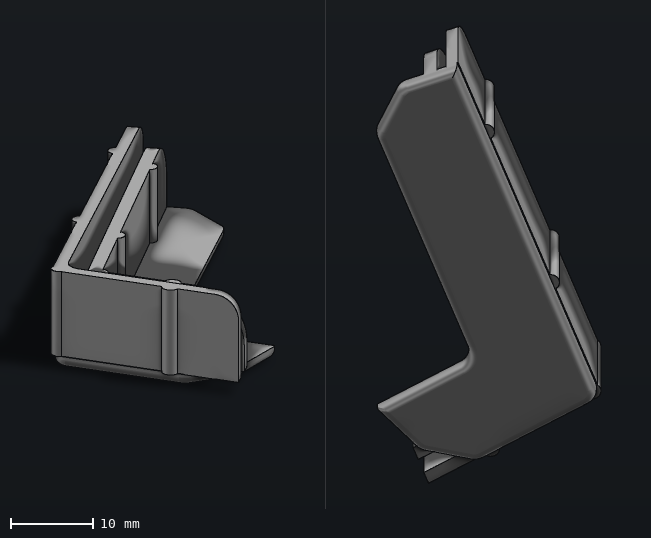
import cadquery as cq
import math


TOTAL_HEIGHT = 12.76
BASE_THICKNESS = 1.6
SHORT_LEG_LENGTH = 24.49
LONG_LEG_LENGTH = 49.55
LEG_LEAN = 10.0
INNER_WALL_LEAN = 11.2

OUTER_WALL_THICKNESS = 1.6
INNER_WALL_START = 3.5
INNER_WALL_THICKNESS = 1.75
INNER_WALL_FOOT_X = 3.87
GROOVE_CORNER_RADIUS = 2.0
OUTER_WALL_CORNER_RADIUS = 1.2
OUTER_WALL_END_RADIUS = 3.0
INNER_WALL_END_RADIUS = 6.2
INNER_WALL_DROP = 1.5

BASE_INSET = 0.13
BASE_WIDTH = 12.75
BASE_OUTER_RADIUS = 2.0
BASE_INNER_RADIUS = 2.0
BASE_EDGE_RADIUS = 1.1
LONG_END_CHAMFER = 5.2
LONG_END_RADIUS = 2.0
TIP_X = 24.4
TIP_RADIUS = 0.3
SHORT_CHAMFER_RADIUS = 2.0
SHORT_END_LEAN = 12.2
SHORT_CHAMFER_START_X = 17.45
SHORT_CHAMFER_ANGLE = 43.0

BEAD_RADIUS = 1.1
BEAD_PROTRUSION = 0.77
BEAD_DEPTH = BEAD_RADIUS - BEAD_PROTRUSION
OUTER_CORNER_BEAD_DEPTH = 0.95
LONG_OUTER_BEADS = (16.8, 39.25)
LONG_INNER_BEADS = (17.25, 39.6)
SHORT_OUTER_BEAD_X = 15.5
SHORT_INNER_BEAD_X = 13.9

INNER_WALL_TOP = TOTAL_HEIGHT - INNER_WALL_DROP


class LeaningLine:
    """A plan line that crosses Y = 0 at foot_x and leans towards -X by lean degrees."""

    def __init__(self, foot_x, lean):
        self.foot_x = foot_x
        self.lean = lean
        self.sin = math.sin(math.radians(lean))
        self.cos = math.cos(math.radians(lean))

    def at_y(self, y):
        return (self.foot_x - y * self.sin / self.cos, y)

    def point(self, along, inward=0.0):
        """Point at a distance along the line from its foot, then square to it towards +X."""
        x = self.foot_x - along * self.sin + inward * self.cos
        y = along * self.cos + inward * self.sin
        return (x, y)

    def shifted(self, inward):
        """Parallel line at a square distance towards +X."""
        return LeaningLine(self.foot_x + inward / self.cos, self.lean)


LEG_FACE = LeaningLine(0.0, LEG_LEAN)
SHORT_END = LeaningLine(SHORT_LEG_LENGTH, LEG_LEAN)
GROOVE_OUTER_FACE = LEG_FACE.shifted(OUTER_WALL_THICKNESS)
GROOVE_INNER_FACE = LeaningLine(INNER_WALL_FOOT_X, INNER_WALL_LEAN)
INNER_FACE = GROOVE_INNER_FACE.shifted(INNER_WALL_THICKNESS)
INNER_FACE_Y = INNER_WALL_START + INNER_WALL_THICKNESS


def near(x, y, z):
    return cq.selectors.NearestToPointSelector((x, y, z))


def middle(a, b):
    return ((a[0] + b[0]) / 2, (a[1] + b[1]) / 2)


def long_leg_end(line):
    """Point where a leaning line meets the square-cut end of the long leg."""
    x, y = LEG_FACE.point(LONG_LEG_LENGTH)
    gap = line.at_y(y)[0] - x
    inward = gap / (LEG_FACE.cos + LEG_FACE.sin * line.sin / line.cos)
    return LEG_FACE.point(LONG_LEG_LENGTH, inward)


def wall(near_line, far_line, near_y, far_y, rounded_corner, top, end_radius):
    """L-shaped wall between two faces, with the top of both free ends rounded."""
    long_near = long_leg_end(near_line)
    long_far = long_leg_end(far_line)
    short_near = SHORT_END.at_y(near_y)
    short_far = SHORT_END.at_y(far_y)
    outline = [
        near_line.at_y(near_y),
        short_near,
        short_far,
        far_line.at_y(far_y),
        long_far,
        long_near,
    ]
    height = top - BASE_THICKNESS
    body = cq.Workplane("XY").workplane(offset=BASE_THICKNESS).polyline(outline).close().extrude(height)
    body = body.edges(near(*rounded_corner, BASE_THICKNESS + height / 2)).fillet(GROOVE_CORNER_RADIUS)
    for end in (middle(long_near, long_far), middle(short_near, short_far)):
        body = body.edges(near(*end, top)).fillet(end_radius)
    return body


def outer_wall():
    corner = GROOVE_OUTER_FACE.at_y(OUTER_WALL_THICKNESS)
    body = wall(
        LEG_FACE, GROOVE_OUTER_FACE, 0.0, OUTER_WALL_THICKNESS,
        corner, TOTAL_HEIGHT, OUTER_WALL_END_RADIUS,
    )
    corner_edge = near(*LEG_FACE.at_y(0.0), TOTAL_HEIGHT / 2)
    return body.edges(corner_edge).fillet(OUTER_WALL_CORNER_RADIUS)


def inner_wall():
    corner = GROOVE_INNER_FACE.at_y(INNER_WALL_START)
    return wall(
        GROOVE_INNER_FACE, INNER_FACE, INNER_WALL_START, INNER_FACE_Y,
        corner, INNER_WALL_TOP, INNER_WALL_END_RADIUS,
    )


def base_plate():
    outer_line = LEG_FACE.shifted(BASE_INSET)
    inner_line = LEG_FACE.shifted(BASE_WIDTH)
    outer_corner = outer_line.at_y(BASE_INSET)
    inner_corner = inner_line.at_y(BASE_WIDTH)
    tip = (TIP_X, BASE_WIDTH)

    chamfer_start = (SHORT_CHAMFER_START_X, BASE_INSET)
    chamfer_run = 1 / math.tan(math.radians(SHORT_CHAMFER_ANGLE))
    end_run = math.tan(math.radians(SHORT_END_LEAN))
    end_x_at_start = TIP_X - (BASE_WIDTH - BASE_INSET) * end_run
    chamfer_rise = (end_x_at_start - SHORT_CHAMFER_START_X) / (chamfer_run - end_run)
    chamfer_end = (SHORT_CHAMFER_START_X + chamfer_rise * chamfer_run, BASE_INSET + chamfer_rise)

    chamfer_side = LEG_FACE.point(LONG_LEG_LENGTH - LONG_END_CHAMFER, BASE_WIDTH)
    chamfer_top = LEG_FACE.point(LONG_LEG_LENGTH, BASE_WIDTH - LONG_END_CHAMFER)
    long_end = LEG_FACE.point(LONG_LEG_LENGTH, BASE_INSET)

    outline = [
        outer_corner,
        chamfer_start,
        chamfer_end,
        tip,
        inner_corner,
        chamfer_side,
        chamfer_top,
        long_end,
    ]
    plate = cq.Workplane("XY").polyline(outline).close().extrude(BASE_THICKNESS)
    rounded_corners = (
        (outer_corner, BASE_OUTER_RADIUS),
        (chamfer_start, SHORT_CHAMFER_RADIUS),
        (chamfer_end, SHORT_CHAMFER_RADIUS),
        (tip, TIP_RADIUS),
        (inner_corner, BASE_INNER_RADIUS),
        (chamfer_side, LONG_END_RADIUS),
        (chamfer_top, LONG_END_RADIUS),
    )
    for corner, radius in rounded_corners:
        plate = plate.edges(near(*corner, BASE_THICKNESS / 2)).fillet(radius)
    return plate.faces("<Z").edges().fillet(BASE_EDGE_RADIUS)


def bead_columns(centres, top):
    plane = cq.Workplane("XY").workplane(offset=BASE_THICKNESS)
    return plane.pushPoints(centres).circle(BEAD_RADIUS).extrude(top - BASE_THICKNESS)


def outer_beads():
    x, y = LEG_FACE.at_y(OUTER_CORNER_BEAD_DEPTH)
    centres = [
        (x + OUTER_CORNER_BEAD_DEPTH / LEG_FACE.cos, y),
        (SHORT_OUTER_BEAD_X, BEAD_DEPTH),
    ]
    centres += [LEG_FACE.point(along, BEAD_DEPTH) for along in LONG_OUTER_BEADS]
    return bead_columns(centres, TOTAL_HEIGHT)


def inner_beads():
    x, y = INNER_FACE.at_y(INNER_FACE_Y - BEAD_DEPTH)
    centres = [
        (x - BEAD_DEPTH / INNER_FACE.cos, y),
        (SHORT_INNER_BEAD_X, INNER_FACE_Y - BEAD_DEPTH),
    ]
    centres += [INNER_FACE.point(along, -BEAD_DEPTH) for along in LONG_INNER_BEADS]
    return bead_columns(centres, INNER_WALL_TOP)


result = base_plate()
for feature in (outer_wall(), inner_wall(), outer_beads(), inner_beads()):
    result = result.union(feature)